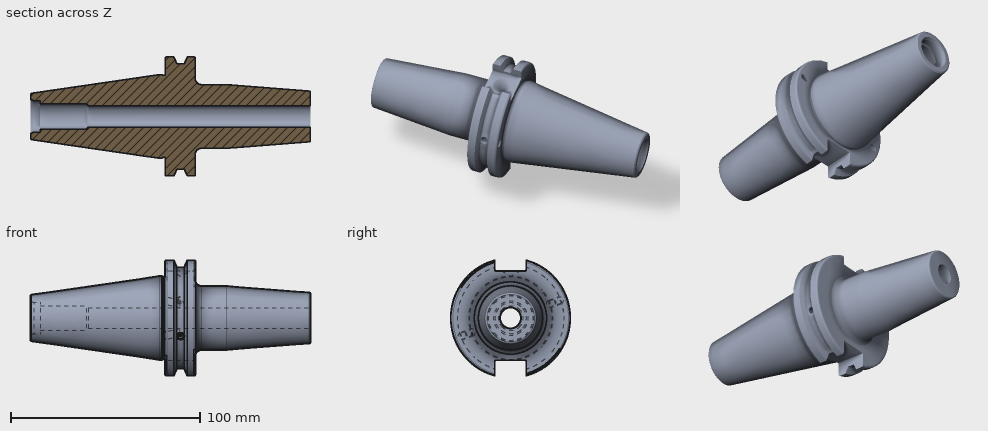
import cadquery as cq
import math

total_length = 148.2
gauge_x = 68.2
gauge_band_end_x = 69.5
flange_x = 71.2
flange_width = 16.3
flange_end_x = flange_x + flange_width
nose_cone_x = 103.6

gauge_diameter = 44.5
taper_rate = 7 / 24
relief_diameter = 43.6
flange_diameter = 63.3
groove_floor_diameter = 56.3
shank_diameter = 34.0
nose_diameter = 27.0

taper_edge = 0.6
flange_edge_radius = 1.0
nose_edge_radius = 1.0
relief_slope = 0.9
shank_root_radius = 3.1
shank_root_length = 3.0
cut_clearance = 1.5

groove_x = flange_x + 8.3
groove_floor_width = 3.9
groove_wall_angle = 25.0

bore_diameter = 11.0
rear_bore_diameter = 13.0
rear_bore_depth = 29.6
pilot_diameter = 16.5
pilot_mouth_diameter = 18.1
pilot_mouth_depth = 1.8
pilot_depth = 5.2

slot_width = 16.6
slot_corner_radius = 0.6
top_slot_floor = 24.9
bottom_slot_floor = 22.4
dimple_diameter = 9.5
dimple_point_angle = 118.0

coolant_diameter = 4.0
coolant_entry_radius = 27.1
coolant_tilt = 32.0
coolant_angle = 20.0
cross_hole_diameter = 3.3
cross_hole_mouth_diameter = 4.2

half_turn = 180
full_turn = 360


def arc_rise(radius, run):
    """Height that an arc gains over a run from its tangent point."""
    return radius - math.sqrt(radius**2 - run**2)


def make_body():
    """Revolve the outer outline: taper, flange and shank."""
    small_radius = (gauge_diameter - gauge_x * taper_rate) / 2
    gauge_radius = gauge_diameter / 2
    relief_radius = relief_diameter / 2
    flange_radius = flange_diameter / 2
    shank_radius = shank_diameter / 2
    nose_radius = nose_diameter / 2
    root_end_x = flange_end_x + shank_root_length
    root_top = shank_radius + arc_rise(shank_root_radius, shank_root_length)
    root_middle_x = root_end_x - shank_root_length / 2
    root_middle = shank_radius + arc_rise(shank_root_radius, shank_root_length / 2)
    outline = (
        cq.Workplane("XY")
        .moveTo(0, 0)
        .lineTo(0, small_radius - taper_edge)
        .lineTo(taper_edge, small_radius + taper_edge * taper_rate / 2)
        .lineTo(gauge_x, gauge_radius)
        .lineTo(gauge_band_end_x, gauge_radius)
        .lineTo(gauge_band_end_x + relief_slope, relief_radius)
        .lineTo(flange_x, relief_radius)
        .lineTo(flange_x, flange_radius)
        .lineTo(flange_end_x, flange_radius)
        .lineTo(flange_end_x, root_top)
        .threePointArc((root_middle_x, root_middle), (root_end_x, shank_radius))
        .lineTo(nose_cone_x, shank_radius)
        .lineTo(total_length, nose_radius)
        .lineTo(total_length, 0)
        .close()
    )
    body = outline.revolve(full_turn, (0, 0, 0), (1, 0, 0))
    flange_rims = cq.selectors.RadiusNthSelector(-1)
    body = body.edges(flange_rims).fillet(flange_edge_radius)
    return body.faces(">X").edges().fillet(nose_edge_radius)


def make_groove():
    """Ring with sloping sides that cuts the V groove."""
    floor_radius = groove_floor_diameter / 2
    clear_radius = flange_diameter / 2 + cut_clearance
    half_floor = groove_floor_width / 2
    half_top = half_floor + (clear_radius - floor_radius) * math.tan(math.radians(groove_wall_angle))
    return (
        cq.Workplane("XY")
        .polyline([
            (groove_x - half_floor, floor_radius),
            (groove_x + half_floor, floor_radius),
            (groove_x + half_top, clear_radius),
            (groove_x - half_top, clear_radius),
        ])
        .close()
        .revolve(full_turn, (0, 0, 0), (1, 0, 0))
    )


def make_bore():
    """Through bore with a stepped and tapered mouth at the small end."""
    bore_radius = bore_diameter / 2
    rear_bore_radius = rear_bore_diameter / 2
    pilot_radius = pilot_diameter / 2
    rear_bore_end = rear_bore_depth + rear_bore_radius - bore_radius
    return (
        cq.Workplane("XY")
        .polyline([
            (0, 0),
            (0, pilot_mouth_diameter / 2),
            (pilot_mouth_depth, pilot_radius),
            (pilot_depth, pilot_radius),
            (pilot_depth, rear_bore_radius),
            (rear_bore_depth, rear_bore_radius),
            (rear_bore_end, bore_radius),
            (total_length, bore_radius),
            (total_length, 0),
        ])
        .close()
        .revolve(full_turn, (0, 0, 0), (1, 0, 0))
    )


def make_slot(floor_height):
    """Slot block standing on its floor, above the axis, with rounded floor corners."""
    slot_height = flange_diameter / 2
    return (
        cq.Workplane("XY", origin=(flange_x + flange_width / 2, 0, floor_height))
        .box(flange_width, slot_width, slot_height, centered=(True, True, False))
        .edges("|X and <Z")
        .fillet(slot_corner_radius)
    )


def make_dimple():
    """Conical drill point in the floor of the top slot."""
    dimple_radius = dimple_diameter / 2
    dimple_depth = dimple_radius / math.tan(math.radians(dimple_point_angle / 2))
    cone = cq.Solid.makeCone(
        dimple_radius, 0, dimple_depth,
        pnt=cq.Vector(flange_x + flange_width / 2, 0, top_slot_floor),
        dir=cq.Vector(0, 0, -1),
    )
    return cq.Workplane(obj=cone)


def make_coolant_hole():
    """Tilted hole from the flange face into a countersunk cross hole from the groove."""
    tilt = math.radians(coolant_tilt)
    direction = cq.Vector(math.cos(tilt), -math.sin(tilt), 0)
    entry = cq.Vector(flange_x, coolant_entry_radius, 0)
    meeting_distance = (groove_x - flange_x) / math.cos(tilt)
    lead_in = coolant_diameter
    tilted = cq.Solid.makeCylinder(
        coolant_diameter / 2, lead_in + meeting_distance, entry - direction * lead_in, direction
    )

    meeting_radius = coolant_entry_radius - (groove_x - flange_x) * math.tan(tilt)
    groove_floor_radius = groove_floor_diameter / 2
    cross_entry = cq.Vector(groove_x, groove_floor_radius, 0)
    inwards = cq.Vector(0, -1, 0)
    cross_hole_radius = cross_hole_diameter / 2
    cross = cq.Solid.makeCylinder(
        cross_hole_radius, groove_floor_radius - meeting_radius, cross_entry, inwards
    )
    mouth_radius = cross_hole_mouth_diameter / 2
    mouth = cq.Solid.makeCone(
        mouth_radius, cross_hole_radius, mouth_radius - cross_hole_radius,
        pnt=cross_entry, dir=inwards,
    )
    return cq.Workplane(obj=tilted).union(cq.Workplane(obj=cross)).union(cq.Workplane(obj=mouth))


result = make_body().cut(make_groove()).cut(make_bore())

top_slot = make_slot(top_slot_floor)
bottom_slot = make_slot(bottom_slot_floor).rotate((0, 0, 0), (1, 0, 0), half_turn)
result = result.cut(top_slot).cut(bottom_slot).cut(make_dimple())

for turn in (coolant_angle, coolant_angle + half_turn):
    result = result.cut(make_coolant_hole().rotate((0, 0, 0), (1, 0, 0), turn))